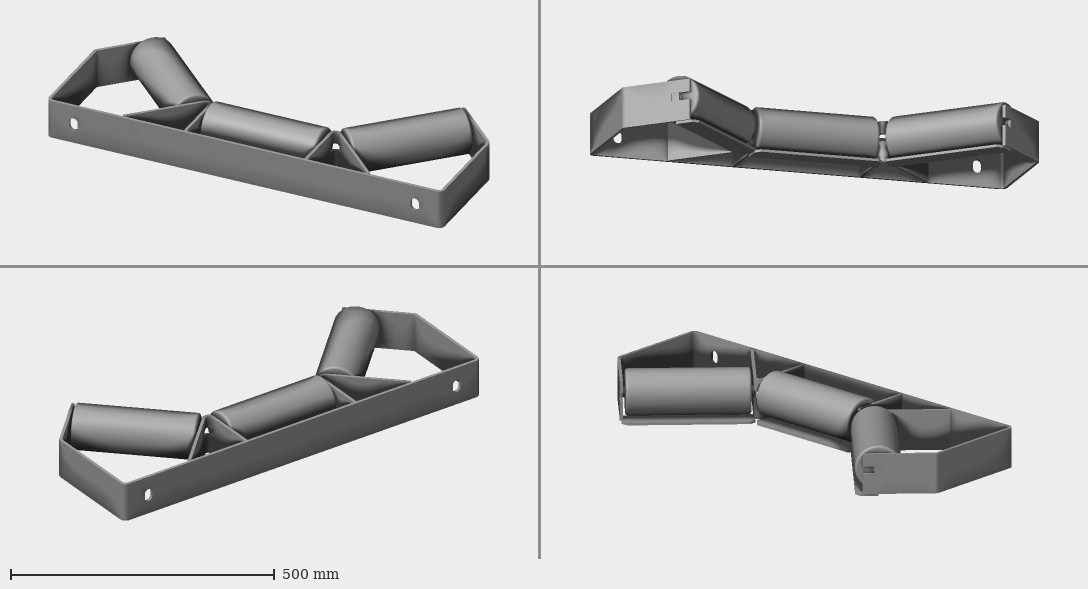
import cadquery as cq
import math

width = 830.0
strip_height = 80.0
sheet = 6.0
bend_radius = sheet
wing_angle = 45.0
arm_top = 314.0

roller_radius = 45.0
roller_length = 239.0
roller_round = 5.0
axle_radius = 11.0
flat_height = 15.0
flat_width = 17.0
axle_z = 47.0
seat_half_span = 129.5
arm_half_span = 130.0
centre_y = 100.5
wing_x = 244.0
wing_y = 200.0

slot_length = 50.0
slot_reach = 25.0
mount_x = 358.0
mount_width = 17.5
mount_height = 26.0

guard_length = 254.0
guard_width = 44.0
guard_thickness = 5.0
guard_chamfer = 10.0

tilt = math.radians(wing_angle)
half_width = width / 2
axle_length = 2 * seat_half_span
stations = [
    (-wing_x, wing_y, -wing_angle),
    (0, centre_y, 0),
    (wing_x, wing_y, wing_angle),
]


def rod(radius, length):
    """Cylinder along X, centred on the origin."""
    return cq.Workplane("YZ", origin=(-length / 2, 0, 0)).circle(radius).extrude(length)


def place(body, station):
    """Turn a body built along X at the origin and move it to a roller station."""
    x, y, angle = station
    return body.rotate((0, 0, 0), (0, 0, 1), angle).translate((x, y, 0))


def wing_point(along, across):
    """XY point given along and across the axis of the right-hand outer roller."""
    x = wing_x + along * math.cos(tilt) - across * math.sin(tilt)
    y = wing_y + along * math.sin(tilt) + across * math.cos(tilt)
    return x, y


def bent_strip(face):
    """Strip whose one face follows the given XY points, with its thickness to their left."""
    directions = []
    for (x0, y0), (x1, y1) in zip(face, face[1:]):
        directions.append(math.atan2(y1 - y0, x1 - x0))
    before = directions[:1] + directions
    after = directions + directions[-1:]

    back = []
    for (x, y), first, second in zip(face, before, after):
        half_turn = math.remainder(second - first, 2 * math.pi) / 2
        normal = first + half_turn + math.pi / 2
        offset = sheet / math.cos(half_turn)
        back.append((x + offset * math.cos(normal), y + offset * math.sin(normal)))

    strip = cq.Workplane("XY").polyline(face + back[::-1]).close().extrude(strip_height)
    for face_corner, back_corner, first, second in zip(face[1:], back[1:], directions, directions[1:]):
        turns_left = math.remainder(second - first, 2 * math.pi) > 0
        inside, outside = (back_corner, face_corner) if turns_left else (face_corner, back_corner)
        for corner, radius in ((inside, bend_radius), (outside, bend_radius + sheet)):
            middle = (*corner, strip_height / 2)
            strip = strip.edges("|Z").edges(cq.selectors.NearestToPointSelector(middle)).fillet(radius)
    return strip


def axle_slots(station):
    """Cutters for the two open slots that hold one axle."""
    cutters = cq.Workplane("XY")
    for side in (-1, 1):
        slot = cq.Workplane("XY").box(slot_reach, slot_length, flat_height, centered=(True, False, True))
        cutters = cutters.add(slot.translate((side * seat_half_span, -flat_width / 2, axle_z)))
    return place(cutters.combine(), station)


def make_frame():
    """Base strip with its two upright sides and leaning arms."""
    arm_x, arm_y = wing_point(arm_half_span, 0)
    shoulder_y = arm_y - (half_width - arm_x) / math.tan(tilt)
    tip_x = arm_x - (arm_top - arm_y) * math.tan(tilt)
    right_side = [(half_width, 0), (half_width, shoulder_y), (tip_x, arm_top)]
    left_side = [(-x, y) for x, y in reversed(right_side)]
    frame = bent_strip(left_side + right_side)
    for station in (stations[0], stations[2]):
        frame = frame.cut(axle_slots(station))
    mounts = (
        cq.Workplane("XZ")
        .pushPoints([(-mount_x, strip_height / 2), (mount_x, strip_height / 2)])
        .slot2D(mount_height, mount_width, 90)
        .extrude(-sheet)
    )
    return frame.cut(mounts)


def make_support():
    """Right-hand folded support that stands on the base between two rollers."""
    lean_x, lean_y = wing_point(-seat_half_span, 0)
    apex_y = lean_y + (lean_x - seat_half_span) / math.tan(tilt)
    toe_x = seat_half_span + (apex_y - sheet) * math.tan(tilt)
    support = bent_strip([(seat_half_span, sheet), (seat_half_span, apex_y), (toe_x, sheet)])
    for station in stations[1:]:
        support = support.cut(axle_slots(station))
    return support


def make_roller(station):
    """Roller in one piece with its axle, whose ends are milled flat on four sides."""
    shell = rod(roller_radius, roller_length).faces("<X or >X").edges().fillet(roller_round)
    journal = rod(axle_radius, 2 * (seat_half_span - sheet))
    flats = cq.Workplane("XY").box(axle_length, flat_width, flat_height)
    ends = rod(axle_radius, axle_length).intersect(flats)
    roller = shell.union(journal).union(ends)
    return place(roller.translate((0, 0, axle_z)), station)


def make_guard(station):
    """Flat plate under the upper half of a roller, with its two upper corners cut off."""
    guard = (
        cq.Workplane("XY")
        .box(guard_length, guard_width, guard_thickness, centered=(True, False, False))
        .edges("|Z and >Y")
        .chamfer(guard_chamfer)
        .translate((0, 0, -guard_thickness))
    )
    return place(guard, station)


frame = make_frame().solids()
right_support = make_support().solids()
left_support = right_support.mirror("YZ").solids()
rollers = [make_roller(station).solids() for station in stations]
guards = [make_guard(station).solids() for station in stations]

bodies = [frame, left_support, right_support, *rollers, *guards]
result = cq.Compound.makeCompound([body.val() for body in bodies])